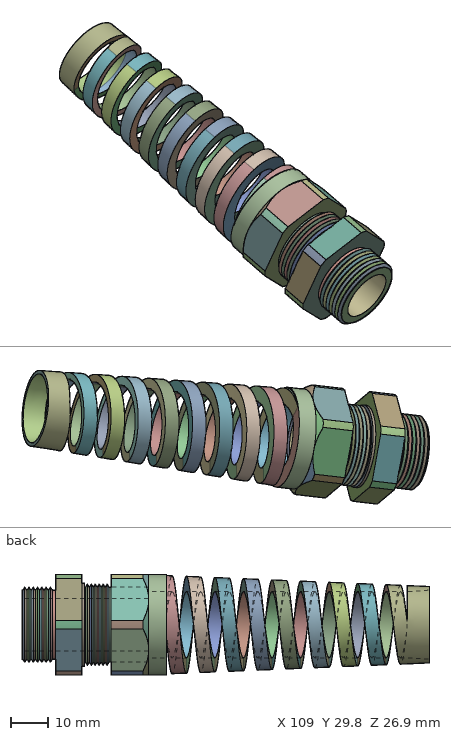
import cadquery as cq
import math


sleeve_end = 6.0
collar_start = 70.3
nut_hex_start = 75.1
nut_end = 85.1
body_collar_start = 92.2
body_hex_start = 93.0
body_hex_end = 99.9
total_length = 109.0

hex_flats = 26.9
hex_corner_radius = 14.9
collar_radius = hex_flats / 2
hex_chamfer = hex_corner_radius - collar_radius

spring_tip_radius = 10.2
spring_root_radius = 13.2
spring_bore_radius = 8.8
sleeve_mouth_radius = 9.3
slot_pitch = 7.6
slot_width = slot_pitch / 2
slot_helix_start = 2.1
slot_margin = 1.1

body_bore_radius = 7.0
body_collar_radius = 11.1

nut_thread_root = 10.0
nut_thread_crest = 10.9
nut_thread_pitch = 1.06
nut_thread_first_crest = 86.2
nut_thread_count = 6

end_thread_root = 9.3
end_thread_crest = 10.0
end_thread_first_crest = 101.3
end_thread_last_crest = 108.2
end_thread_count = 7
end_thread_pitch = (end_thread_last_crest - end_thread_first_crest) / (end_thread_count - 1)


def revolved(outline):
    """Solid of revolution about X from a closed outline of (x, radius) points."""
    return cq.Workplane("XZ").polyline(outline).close().revolve(360, (0, 0, 0), (1, 0, 0))


def cylinder(start, end, radius):
    return cq.Workplane("YZ", origin=(start, 0, 0)).circle(radius).extrude(end - start)


def hexagon(start, end):
    """Hexagonal prism along X with flats on +Z and -Z and rounded corners."""
    across_corners = hex_flats / math.cos(math.pi / 6)
    prism = cq.Workplane("YZ", origin=(start, 0, 0)).polygon(6, across_corners).extrude(end - start)
    return prism.intersect(cylinder(start, end, hex_corner_radius))


def nut_hexagon():
    """Hexagon of the nut, with its corners chamfered on the spring side."""
    chamfer_envelope = revolved([
        (nut_hex_start, 0),
        (nut_hex_start, collar_radius),
        (nut_hex_start + hex_chamfer, hex_corner_radius),
        (nut_end, hex_corner_radius),
        (nut_end, 0),
    ])
    return hexagon(nut_hex_start, nut_end).intersect(chamfer_envelope)


def slot_zone():
    """Ring between the sleeve and the collar, the only stretch that the slot cuts."""
    outer = cylinder(sleeve_end, collar_start, spring_root_radius + 2 * slot_margin)
    return outer.cut(cylinder(sleeve_end, collar_start, spring_bore_radius - 2 * slot_margin))


def slot_turn(start):
    """One right-handed turn of the helical slot cutter about X, starting on the -Z side."""
    inner = spring_bore_radius - slot_margin
    outer = spring_root_radius + slot_margin
    path = cq.Workplane(cq.Wire.makeHelix(slot_pitch, slot_pitch, inner))
    cutter = (
        cq.Workplane("XZ")
        .center((inner + outer) / 2, 0)
        .rect(outer - inner, slot_width)
        .sweep(path, isFrenet=True)
    )
    return cutter.rotate((0, 0, 0), (0, 1, 0), 90).translate((start, 0, 0))


def spring():
    """Tapered tube with a flared mouth; the slot is cut turn by turn and leaves a helical band."""
    coil = revolved([
        (0, sleeve_mouth_radius),
        (0, spring_tip_radius),
        (collar_start, spring_root_radius),
        (collar_start, spring_bore_radius),
        (sleeve_end, spring_bore_radius),
    ])
    zone = slot_zone()
    slot_length = collar_start + slot_width / 2 - slot_helix_start
    for turn in range(math.ceil(slot_length / slot_pitch)):
        coil = coil.cut(slot_turn(slot_helix_start + turn * slot_pitch).intersect(zone))
    return coil


def make_spring_nut():
    """Dome nut with its spring; a recess in the hexagon takes the body's spigot."""
    collar = cylinder(collar_start, nut_hex_start, collar_radius)
    head = collar.union(nut_hexagon())
    head = head.cut(cylinder(collar_start, nut_hex_start, spring_bore_radius))
    head = head.cut(cylinder(nut_hex_start, nut_end, nut_thread_root))
    return head.union(spring())


def thread_points(first_crest, pitch, count, root, crest):
    """Zigzag of ring-shaped V threads, from the first root to the last."""
    start = first_crest - pitch / 2
    points = [(start, root)]
    for i in range(count):
        points.append((first_crest + i * pitch, crest))
        points.append((start + (i + 1) * pitch, root))
    return points


def make_gland_body():
    """Bored body with a spigot in the nut, two threads, a collar and a hexagon."""
    nut_thread = thread_points(
        nut_thread_first_crest, nut_thread_pitch, nut_thread_count, nut_thread_root, nut_thread_crest
    )
    end_thread = thread_points(
        end_thread_first_crest, end_thread_pitch, end_thread_count, end_thread_root, end_thread_crest
    )
    core = revolved([
        (nut_hex_start, 0),
        (nut_hex_start, nut_thread_root),
        *nut_thread,
        (body_collar_start, nut_thread_root),
        (body_collar_start, body_collar_radius),
        (body_hex_start, body_collar_radius),
        (body_hex_start, end_thread_root),
        *end_thread,
        (total_length, end_thread_root),
        (total_length, 0),
    ])
    body = core.union(hexagon(body_hex_start, body_hex_end))
    return body.cut(cylinder(nut_hex_start, total_length, body_bore_radius))


spring_nut = make_spring_nut()
gland_body = make_gland_body()

result = cq.Compound.makeCompound([*spring_nut.solids().vals(), *gland_body.solids().vals()])